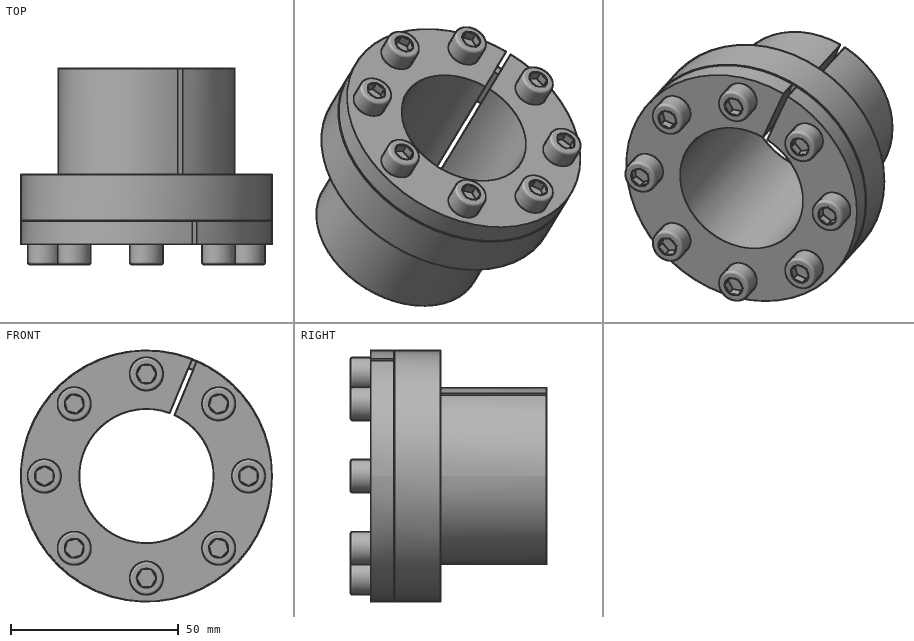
import cadquery as cq
import math

OUTER_DIAMETER = 75.0
BORE_DIAMETER = 40.0
SLEEVE_DIAMETER = 52.8
FLANGE_THICKNESS = 7.0
RING_THICKNESS = 14.0
SLEEVE_LENGTH = 31.5
RING_EDGE_CHAMFER = 0.2

SLIT_WIDTH = 1.5
SLIT_ANGLE = 22.5
RING_SLIT_RADIUS = 34.5

SCREW_COUNT = 8
SCREW_CIRCLE_DIAMETER = 60.9
HEAD_DIAMETER = 10.0
HEAD_HEIGHT = 6.0
HEAD_FILLET = 0.75
HEX_ACROSS_FLATS = 5.2
HEX_ACROSS_CORNERS = HEX_ACROSS_FLATS / math.cos(math.pi / 6)
HEX_DEPTH = 3.0
SOCKET_MOUTH_DIAMETER = 5.8
SOCKET_MOUTH_DEPTH = 0.2

HEAD_FACE_Y = 0.0
FLANGE_FACE_Y = HEAD_FACE_Y + HEAD_HEIGHT
RING_FRONT_Y = FLANGE_FACE_Y + FLANGE_THICKNESS
RING_BACK_Y = RING_FRONT_Y + RING_THICKNESS
SLEEVE_END_Y = RING_BACK_Y + SLEEVE_LENGTH


def plane_at(y):
    """Workplane across the Y axis; positive offsets on it run towards -Y."""
    return cq.Workplane("XZ", origin=(0, y, 0))


def disc(diameter, start_y, end_y):
    """Solid cylinder on the Y axis between two stations."""
    return plane_at(start_y).circle(diameter / 2).extrude(start_y - end_y)


def turn_about_axis(body, angle):
    """Turn a body about the Y axis, from +Z towards +X."""
    return body.rotate((0, 0, 0), (0, 1, 0), angle)


def slit_cutter(outer_radius, start_y, end_y):
    """Flat blade from the axis out to a radius, at the slit angle."""
    blade = cq.Workplane("XY", origin=(0, start_y, 0)).box(
        SLIT_WIDTH, end_y - start_y, outer_radius, centered=(True, False, False)
    )
    return turn_about_axis(blade, SLIT_ANGLE)


def make_hub():
    """Flange, thick ring and sleeve with a common bore and a clamping slit."""
    flange = disc(OUTER_DIAMETER, FLANGE_FACE_Y, RING_FRONT_Y)
    ring = disc(OUTER_DIAMETER, RING_FRONT_Y, RING_BACK_Y)
    ring = ring.faces("<Y or >Y").edges().chamfer(RING_EDGE_CHAMFER)
    sleeve = disc(SLEEVE_DIAMETER, RING_BACK_Y, SLEEVE_END_Y)
    body = flange.union(ring).union(sleeve)
    body = body.cut(disc(BORE_DIAMETER, FLANGE_FACE_Y, SLEEVE_END_Y))
    body = body.cut(slit_cutter(OUTER_DIAMETER, FLANGE_FACE_Y, RING_FRONT_Y))
    return body.cut(slit_cutter(RING_SLIT_RADIUS, RING_FRONT_Y, SLEEVE_END_Y))


def hex_socket_cutter():
    """Hexagonal socket with a conical countersink at its mouth."""
    hexagon = plane_at(HEAD_FACE_Y).polygon(6, HEX_ACROSS_CORNERS).extrude(-HEX_DEPTH)
    mouth = (
        plane_at(HEAD_FACE_Y)
        .circle(SOCKET_MOUTH_DIAMETER / 2)
        .workplane(offset=-SOCKET_MOUTH_DEPTH)
        .circle(HEX_ACROSS_FLATS / 2)
        .loft()
    )
    return hexagon.union(mouth)


def make_screw(angle):
    """Socket head resting on the flange face, at an angle about the Y axis."""
    head = disc(HEAD_DIAMETER, HEAD_FACE_Y, FLANGE_FACE_Y)
    head = head.faces("<Y").edges().fillet(HEAD_FILLET)
    head = head.cut(hex_socket_cutter())
    head = head.translate((0, 0, SCREW_CIRCLE_DIAMETER / 2))
    return turn_about_axis(head, angle)


hub = make_hub()
screws = [make_screw(i * 360 / SCREW_COUNT) for i in range(SCREW_COUNT)]

result = cq.Compound.makeCompound([hub.solids().val(), *[screw.solids().val() for screw in screws]])